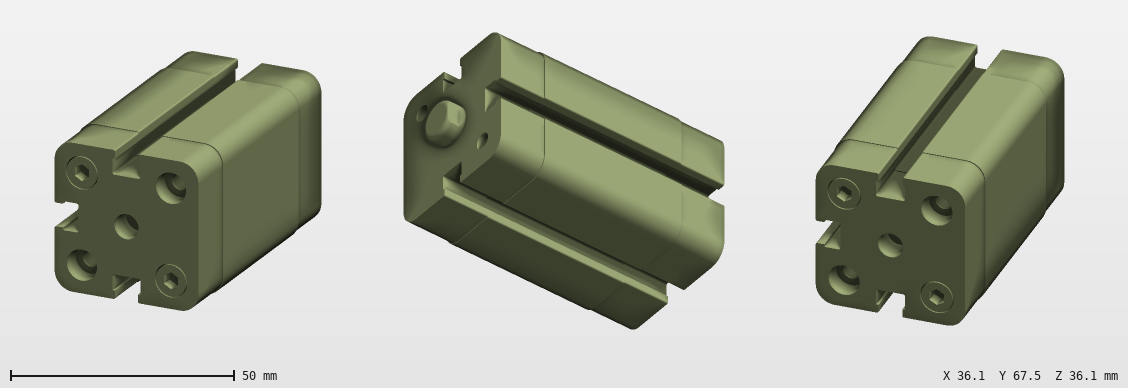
import cadquery as cq
import math

OVERALL_LENGTH = 67.5
ROD_STICKOUT = 4.5
CAP_LENGTH = 12.2
TUBE_WIDTH = 36.1
CAP_INSET = 0.2
CORNER_RADIUS = 4.5

BODY_LENGTH = OVERALL_LENGTH - ROD_STICKOUT
TUBE_LENGTH = BODY_LENGTH - 2 * CAP_LENGTH
FRONT_Y = -OVERALL_LENGTH / 2
REAR_Y = FRONT_Y + BODY_LENGTH

SLOT_MOUTH_WIDTH = 5.7
SLOT_INNER_WIDTH = 6.95
SLOT_FLOOR_DISTANCE = 12.15
SLOT_LIP_DISTANCE = 15.8
SLOT_FLOOR_RADIUS = 0.5
SLOT_MOUTH_RADIUS = 0.4
SLOT_ANGLES = (0, 90, 180)

HOLE_OFFSET = 11.1
BOLT_HOLE_DIAMETER = 4.1
BOLT_COUNTERBORE_DIAMETER = 7.5
BOLT_COUNTERBORE_DEPTH = 4.7
SCREW_RECESS_DIAMETER = 8.0
SCREW_HEAD_DIAMETER = 7.5
SCREW_RECESS_DEPTH = BOLT_COUNTERBORE_DEPTH
HEX_ACROSS_FLATS = 3.5
HEX_ACROSS_CORNERS = HEX_ACROSS_FLATS / math.cos(math.pi / 6)
HEX_DEPTH = 3.0
BOLT_HOLE_POINTS = [(HOLE_OFFSET, HOLE_OFFSET), (-HOLE_OFFSET, -HOLE_OFFSET)]
SCREW_POINTS = [(-HOLE_OFFSET, HOLE_OFFSET), (HOLE_OFFSET, -HOLE_OFFSET)]

CENTER_HOLE_DIAMETER = 6.0
CENTER_HOLE_DEPTH = CAP_LENGTH / 2

ROD_DIAMETER = 10.0
ROD_END_RADIUS = 1.3
ROD_ACROSS_FLATS = 8.0
FLAT_LENGTH = 3.3


def plane_at(y):
    """XZ sketch plane with +X right and +Z up; negative extrusion goes toward +Y."""
    return cq.Workplane(cq.Plane(origin=(0, y, 0), xDir=(1, 0, 0), normal=(0, -1, 0)))


def slot_cutter(y, length, inset):
    """T-slot on the +Z side, in a section whose outline is moved toward the axis by inset."""
    surface = TUBE_WIDTH / 2 - inset
    floor = SLOT_FLOOR_DISTANCE - inset
    mouth_height = surface - floor
    inner_height = SLOT_LIP_DISTANCE - floor
    mouth = plane_at(y).center(0, floor + mouth_height / 2).rect(SLOT_MOUTH_WIDTH, mouth_height)
    inner = plane_at(y).center(0, floor + inner_height / 2).rect(SLOT_INNER_WIDTH, inner_height)
    inner_solid = inner.extrude(-length).edges("|Y and <Z").fillet(SLOT_FLOOR_RADIUS)
    half_mouth = SLOT_MOUTH_WIDTH / 2
    half_flare = half_mouth + SLOT_MOUTH_RADIUS
    flare_start = surface - SLOT_MOUTH_RADIUS
    arc_step = SLOT_MOUTH_RADIUS * (1 - math.cos(math.pi / 4))
    flare = (
        plane_at(y)
        .moveTo(-half_mouth, flare_start)
        .lineTo(half_mouth, flare_start)
        .threePointArc((half_mouth + arc_step, surface - arc_step), (half_flare, surface))
        .lineTo(-half_flare, surface)
        .threePointArc((-half_mouth - arc_step, surface - arc_step), (-half_mouth, flare_start))
        .close()
    )
    return inner_solid.union(mouth.extrude(-length)).union(flare.extrude(-length))


def body_section(y, length, inset):
    """Rounded square bar with its T-slots, inset from the tube outline."""
    width = TUBE_WIDTH - 2 * inset
    section = plane_at(y).rect(width, width).extrude(-length)
    section = section.edges("|Y").fillet(CORNER_RADIUS)
    cutter = slot_cutter(y, length, inset)
    for angle in SLOT_ANGLES:
        section = section.cut(cutter.rotate((0, 0, 0), (0, -1, 0), angle))
    return section


def make_rod():
    """Rod stub with a rounded free end and two opposite wrench flats."""
    rod = plane_at(REAR_Y).circle(ROD_DIAMETER / 2).extrude(-ROD_STICKOUT)
    rod = rod.faces(">Y").edges().fillet(ROD_END_RADIUS)
    flat_x = ROD_ACROSS_FLATS / 2
    end_y = FRONT_Y + OVERALL_LENGTH
    flat_y = end_y - FLAT_LENGTH
    clearance_x = ROD_DIAMETER
    ramp_y = flat_y - (clearance_x - flat_x)
    flat = (
        cq.Workplane("XY")
        .polyline([(flat_x, end_y), (flat_x, flat_y), (clearance_x, ramp_y), (clearance_x, end_y)])
        .close()
        .extrude(ROD_DIAMETER, both=True)
    )
    return rod.cut(flat).cut(flat.mirror("YZ"))


def front_holes(points, diameter, depth):
    """Cylinders reaching into the body from the front face."""
    return plane_at(FRONT_Y).pushPoints(points).circle(diameter / 2).extrude(-depth)


front_cap = body_section(FRONT_Y, CAP_LENGTH, CAP_INSET)
tube = body_section(FRONT_Y + CAP_LENGTH, TUBE_LENGTH, 0)
rear_cap = body_section(REAR_Y - CAP_LENGTH, CAP_LENGTH, CAP_INSET)
body = front_cap.union(tube).union(rear_cap)

body = body.cut(front_holes(BOLT_HOLE_POINTS, BOLT_HOLE_DIAMETER, BODY_LENGTH))
body = body.cut(front_holes(BOLT_HOLE_POINTS, BOLT_COUNTERBORE_DIAMETER, BOLT_COUNTERBORE_DEPTH))

recess = front_holes(SCREW_POINTS, SCREW_RECESS_DIAMETER, SCREW_RECESS_DEPTH)
head = front_holes(SCREW_POINTS, SCREW_HEAD_DIAMETER, SCREW_RECESS_DEPTH)
body = body.cut(recess.cut(head))
for x, z in SCREW_POINTS:
    socket = plane_at(FRONT_Y).polygon(6, HEX_ACROSS_CORNERS).extrude(-HEX_DEPTH)
    socket = socket.rotate((0, 0, 0), (0, 1, 0), 90)
    body = body.cut(socket.translate((x, 0, z)))

body = body.cut(front_holes([(0, 0)], CENTER_HOLE_DIAMETER, CENTER_HOLE_DEPTH))

result = body.union(make_rod())